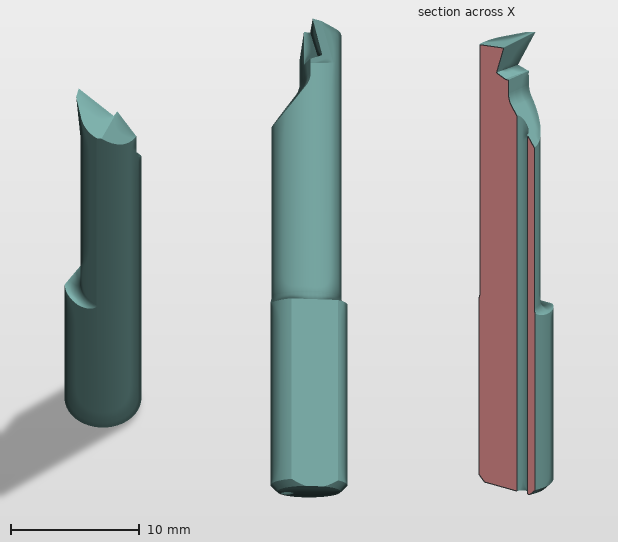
import cadquery as cq
import math

LENGTH = 37.0
SHANK_RADIUS = 3.0
FLAT_X = -2.35
BOTTOM_CHAMFER = 0.5

NECK_RADIUS = 2.75
NECK_LEFT_X = -1.55
NECK_CENTER_X = NECK_LEFT_X + NECK_RADIUS
WEDGE_TANGENT_X = NECK_CENTER_X - NECK_RADIUS * math.sqrt(0.5)
SHOULDER_Z = 14.8
BLEND_RADIUS = 0.75

HEAD_BACK_Y = 0.165
TIP = (FLAT_X, HEAD_BACK_Y, LENGTH)
CHIP_ARC_TOP_Z = 32.85
CHIP_ARC_RADIUS = 1.6
CHIP_RUNOUT_ANGLE = math.radians(37.5)

TOP_SLOPE_X = 0.11
TOP_SLOPE_Y = 0.115
TOP_EDGE_X = 1.22
STEEP_SLOPE = 1.06

RELIEF_FLOOR_Z = 33.93
RELIEF_FLOOR_SLOPE = 0.35
RELIEF_SLOPE_Z = 0.27
RELIEF_SLOPE_Y = 0.3

RAKE_DEPTH = 0.85
RAKE_BOTTOM_Z = 34.0
RAKE_CORNER_Z = 34.35
RAKE_TURN_ANGLE = 5.6

COOLANT_DIAMETER = 1.0
COOLANT_X = 1.0
COOLANT_Y = 1.5

MARGIN = 7.4


def make_shank():
    shank = cq.Workplane("XY").circle(SHANK_RADIUS).extrude(LENGTH)
    shank = shank.faces("<Z").chamfer(BOTTOM_CHAMFER)
    keep = cq.Workplane("XY").box(MARGIN * 2, MARGIN * 2, LENGTH, centered=(False, True, False))
    return shank.intersect(keep.translate((FLAT_X, 0, 0)))


def make_neck_envelope():
    """Revolved envelope: wide at the shank, concave blend, then the neck radius."""
    blend_top_z = SHOULDER_Z + BLEND_RADIUS
    blend_outer = NECK_RADIUS + BLEND_RADIUS
    arc_inset = BLEND_RADIUS * math.sqrt(0.5)
    profile = (
        cq.Workplane("XZ")
        .lineTo(MARGIN, 0)
        .lineTo(MARGIN, SHOULDER_Z)
        .lineTo(blend_outer, SHOULDER_Z)
        .threePointArc((blend_outer - arc_inset, blend_top_z - arc_inset), (NECK_RADIUS, blend_top_z))
        .lineTo(NECK_RADIUS, LENGTH)
        .lineTo(0, LENGTH)
        .close()
    )
    return profile.revolve(360, (0, 0), (0, 1)).translate((NECK_CENTER_X, 0, 0))


def make_head_wedge():
    """Wedge reaching out to the tip; its outer face is tangent to the neck at 45 degrees."""
    tangent_y = -NECK_RADIUS * math.sqrt(0.5)
    flat_y = tangent_y + WEDGE_TANGENT_X - FLAT_X
    outline = [
        (WEDGE_TANGENT_X, tangent_y),
        (FLAT_X, flat_y),
        (FLAT_X, HEAD_BACK_Y),
        (NECK_CENTER_X, HEAD_BACK_Y),
        (NECK_CENTER_X, 0),
    ]
    prism = cq.Workplane("XY").polyline(outline).close().extrude(LENGTH)
    return prism.intersect(make_relief_zone())


def make_relief_zone():
    """Everything above the sloping floor that ends the clearance faces."""
    left_x = -MARGIN
    left_z = RELIEF_FLOOR_Z + RELIEF_FLOOR_SLOPE * (left_x - WEDGE_TANGENT_X)
    right_z = RELIEF_FLOOR_Z + RELIEF_FLOOR_SLOPE * (MARGIN - WEDGE_TANGENT_X)
    outline = [(left_x, left_z), (MARGIN, right_z), (MARGIN, LENGTH + MARGIN), (left_x, LENGTH + MARGIN)]
    return cq.Workplane("XZ").polyline(outline).close().extrude(MARGIN, both=True)


def half_space(origin, normal):
    """Large block on the side of a plane that its normal points to."""
    plane = cq.Plane(origin=origin, normal=normal)
    return cq.Workplane(plane).rect(4 * LENGTH, 4 * LENGTH).extrude(2 * LENGTH)


def make_chip_space():
    arc_y = HEAD_BACK_Y + CHIP_ARC_RADIUS

    def arc_point(angle):
        return (
            arc_y - CHIP_ARC_RADIUS * math.cos(angle),
            CHIP_ARC_TOP_Z - CHIP_ARC_RADIUS * math.sin(angle),
        )

    arc_end = arc_point(CHIP_RUNOUT_ANGLE)
    runout_z = arc_end[1] - (MARGIN - arc_end[0]) / math.tan(CHIP_RUNOUT_ANGLE)
    return (
        cq.Workplane("YZ")
        .moveTo(HEAD_BACK_Y, LENGTH + MARGIN)
        .lineTo(HEAD_BACK_Y, CHIP_ARC_TOP_Z)
        .threePointArc(arc_point(CHIP_RUNOUT_ANGLE / 2), arc_end)
        .lineTo(MARGIN, runout_z)
        .lineTo(MARGIN, LENGTH + MARGIN)
        .close()
        .extrude(MARGIN, both=True)
    )


def make_rake_pocket():
    """V-shaped pocket running from the tip and ending below the edge of the steep top face."""
    rake_slope = RAKE_DEPTH / (LENGTH - RAKE_CORNER_Z)
    outline = [
        (MARGIN, RAKE_BOTTOM_Z),
        (0, RAKE_BOTTOM_Z),
        (-RAKE_DEPTH, RAKE_CORNER_Z),
        (rake_slope * MARGIN, LENGTH + MARGIN),
        (MARGIN, LENGTH + MARGIN),
    ]
    pocket = cq.Workplane("YZ").polyline(outline).close().extrude(MARGIN, both=True)
    pocket = pocket.rotate((0, 0, 0), (0, 0, 1), -RAKE_TURN_ANGLE).translate((FLAT_X, HEAD_BACK_Y, 0))
    return pocket.cut(half_space((TOP_EDGE_X, 0, 0), (1, 0, 0)))


body = make_neck_envelope().union(make_head_wedge()).intersect(make_shank())

relief = half_space(TIP, (-1, -RELIEF_SLOPE_Y, -RELIEF_SLOPE_Z))
body = body.cut(relief.intersect(make_relief_zone()))

body = body.cut(make_chip_space())

steep_start = (TOP_EDGE_X, 0, LENGTH - TOP_SLOPE_X * (TOP_EDGE_X - FLAT_X))
body = body.cut(half_space(TIP, (TOP_SLOPE_X, -TOP_SLOPE_Y, 1)))
body = body.cut(half_space(steep_start, (STEEP_SLOPE, 0, 1)))

body = body.cut(make_rake_pocket())

coolant_hole = cq.Workplane("XY").center(COOLANT_X, COOLANT_Y).circle(COOLANT_DIAMETER / 2).extrude(LENGTH)
result = body.cut(coolant_hole)